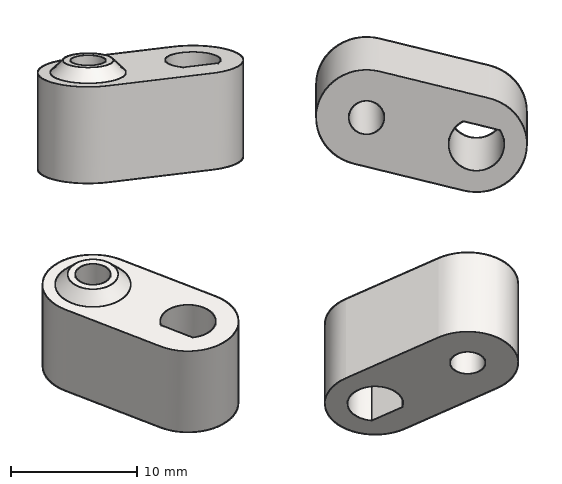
import cadquery as cq

length = 17.0
width = 8.0
total_height = 9.0
boss_height = 1.0
body_height = total_height - boss_height
end_offset = (length - width) / 2

boss_base_diameter = 6.0
boss_top_diameter = 4.0
bore_diameter = 2.8

d_bore_diameter = 4.4
d_flat_offset = 1.62


def make_body():
    return cq.Workplane("XY").slot2D(length, width, 90).extrude(body_height)


def make_boss():
    return (
        cq.Workplane("XY", origin=(0, -end_offset, body_height))
        .circle(boss_base_diameter / 2)
        .workplane(offset=boss_height)
        .circle(boss_top_diameter / 2)
        .loft(ruled=True)
    )


def make_round_bore():
    return cq.Workplane("XY").center(0, -end_offset).circle(bore_diameter / 2).extrude(total_height)


def make_d_bore():
    cylinder = cq.Workplane("XY").circle(d_bore_diameter / 2).extrude(body_height)
    keep_box = (
        cq.Workplane("XY")
        .box(d_bore_diameter, d_bore_diameter, body_height, centered=(True, True, False))
        .translate((d_flat_offset - d_bore_diameter / 2, 0, 0))
    )
    return cylinder.intersect(keep_box).translate((0, end_offset, 0))


result = make_body().union(make_boss()).cut(make_round_bore()).cut(make_d_bore())